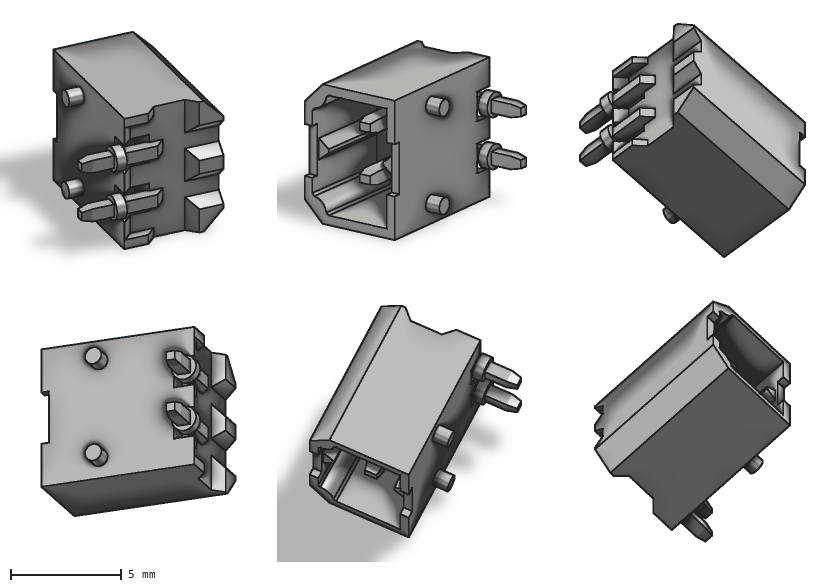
import cadquery as cq
import math


BODY_LENGTH = 7.5
BODY_HEIGHT = 5.0
BODY_WIDTH = 6.7
TOP_CHAMFER = 1.0
PIN_PITCH = 2.495
PIN_HEIGHT = BODY_HEIGHT / 2
PIN_CENTRES = (-PIN_PITCH / 2, PIN_PITCH / 2)

CAVITY_DEPTH = 5.0
SIDE_WALL = 0.47
MOUTH_WALL = 0.43
DRAFT = 0.07
CAVITY_HALF_WIDTH = BODY_WIDTH / 2 - SIDE_WALL
CORNER_REACH = 0.905
CORNER_SHOULDER = 0.77
CORNER_STEP = 0.11
CORNER_RADIUS = math.hypot(CORNER_SHOULDER, CORNER_STEP)
MOUTH_SLOT_DEPTH = 0.37

RIB_START = 0.5
RIB_REACH = 0.98
RIB_BASE_HALF_WIDTH = 0.47
RIB_TIP_HALF_WIDTH = 0.09

PAD_HEIGHT = 1.53
PAD_WIDTH = 1.31
PAD_CORNER = 0.305
PAD_RISE = 0.5
PAD_INSET = 0.1

BLADE_TIP_X = 1.2
BLADE_HEIGHT = 0.795
BLADE_TIP_HEIGHT = 0.585
PIN_WIDTH = 0.64
PIN_TIP_WIDTH = 0.41
PIN_TAPER = 0.5
TAIL_LENGTH = 2.1
TAIL_THICKNESS = 0.6
TAIL_TIP_THICKNESS = 0.42
COLLAR_DIAMETER = 1.19
COLLAR_THICKNESS = 0.5
TAIL_X = BODY_LENGTH - TAIL_THICKNESS / 2
TAIL_TOP = 2.18

RECESS_DEPTH = 0.5
RECESS_TOP = 3.78
RECESS_BOTTOM = 1.22
INNER_RECESS_BOTTOM = 0.03
NOTCH_DEPTH = 1.0
NOTCH_WIDTH = 1.42
NOTCH_HEIGHT = 1.0
GUIDE_HALF_WIDTH = 0.905

PEG_X = 2.855
PEG_OFFSET = 2.355
PEG_DIAMETER = 0.8
PEG_LENGTH = 0.76

RECESS_X = BODY_LENGTH - RECESS_DEPTH
NOTCH_X = BODY_LENGTH - NOTCH_DEPTH


def section_at(x):
    """Sketch plane across the part: local x is Y, local y is Z."""
    return cq.Workplane("YZ", origin=(x, 0, 0))


def side_prism(points, half_width, z_centre=0):
    """Extrude an XY outline symmetrically about z_centre."""
    return (
        cq.Workplane("XY", origin=(0, 0, z_centre - half_width))
        .polyline(points)
        .close()
        .extrude(2 * half_width)
    )


def housing_block():
    half = BODY_WIDTH / 2
    shoulder = BODY_HEIGHT - TOP_CHAMFER
    outline = [
        (0, -half),
        (shoulder, -half),
        (BODY_HEIGHT, TOP_CHAMFER - half),
        (BODY_HEIGHT, half - TOP_CHAMFER),
        (shoulder, half),
        (0, half),
    ]
    return section_at(0).polyline(outline).close().extrude(BODY_LENGTH)


def cavity_outline(plane, wall):
    """Rectangle whose two upper corners are filled by rounded, shouldered posts."""
    bottom = wall
    top = BODY_HEIGHT - wall
    half = CAVITY_HALF_WIDTH
    mid = CORNER_RADIUS * math.sqrt(0.5)
    return (
        plane.moveTo(bottom, -half)
        .lineTo(top - CORNER_REACH, -half)
        .lineTo(top - CORNER_SHOULDER, CORNER_STEP - half)
        .threePointArc((top - mid, mid - half), (top - CORNER_STEP, CORNER_SHOULDER - half))
        .lineTo(top, CORNER_REACH - half)
        .lineTo(top, half - CORNER_REACH)
        .lineTo(top - CORNER_STEP, half - CORNER_SHOULDER)
        .threePointArc((top - mid, half - mid), (top - CORNER_SHOULDER, half - CORNER_STEP))
        .lineTo(top - CORNER_REACH, half)
        .lineTo(bottom, half)
        .close()
    )


def mating_cavity():
    mouth = cavity_outline(section_at(0), MOUTH_WALL)
    floor = cavity_outline(mouth.workplane(offset=CAVITY_DEPTH), MOUTH_WALL + DRAFT)
    return floor.loft(ruled=True, combine=True)


def mouth_slot():
    """Shallow gap in the mouth rim, as wide as the pin pitch, through both walls."""
    outline = [
        (0, 0),
        (MOUTH_SLOT_DEPTH, 0),
        (MOUTH_SLOT_DEPTH, BODY_HEIGHT),
        (0, BODY_HEIGHT),
    ]
    return side_prism(outline, PIN_PITCH / 2)


def lower_rib():
    """Keying rib on the lower wall, rooted inside the wall and the cavity floor."""

    def outline(plane, tip):
        slope = (RIB_BASE_HALF_WIDTH - RIB_TIP_HALF_WIDTH) / (RIB_REACH - MOUTH_WALL - DRAFT)
        root = MOUTH_WALL / 2
        root_half = RIB_TIP_HALF_WIDTH + slope * (tip - root)
        return plane.polyline(
            [
                (root, -root_half),
                (tip, -RIB_TIP_HALF_WIDTH),
                (tip, RIB_TIP_HALF_WIDTH),
                (root, root_half),
            ]
        ).close()

    front = outline(section_at(RIB_START), RIB_REACH)
    rear = outline(front.workplane(offset=CAVITY_DEPTH - RIB_START), RIB_REACH + DRAFT)
    return rear.loft(ruled=True, combine=True)


def pin_pad(z):
    """Tapered pad rising from the cavity floor, with rounded corners."""
    taper_angle = math.degrees(math.atan(PAD_INSET / PAD_RISE))
    return (
        cq.Workplane("YZ", origin=(CAVITY_DEPTH, PIN_HEIGHT, z))
        .sketch()
        .rect(PAD_HEIGHT, PAD_WIDTH)
        .vertices()
        .fillet(PAD_CORNER)
        .finalize()
        .extrude(-PAD_RISE, taper=taper_angle)
    )


def rear_recess(bottom, half_width):
    """Trapezoidal channel across the rear face with 45 degree flanks."""
    outline = [
        (BODY_LENGTH, bottom),
        (RECESS_X, bottom + RECESS_DEPTH),
        (RECESS_X, RECESS_TOP - RECESS_DEPTH),
        (BODY_LENGTH, RECESS_TOP),
    ]
    return side_prism(outline, half_width)


def tail_notch(z):
    """Clearance around a tail, with a ceiling rising at 45 degrees to the rear."""
    outline = [
        (NOTCH_X, 0),
        (BODY_LENGTH, 0),
        (BODY_LENGTH, INNER_RECESS_BOTTOM + RECESS_DEPTH),
        (RECESS_X, NOTCH_HEIGHT + RECESS_X - NOTCH_X),
        (NOTCH_X, NOTCH_HEIGHT),
    ]
    return side_prism(outline, NOTCH_WIDTH / 2, z)


def pin_guide(z):
    """Flared channel in the rear face above the recess, in line with a pin."""
    floor_half = GUIDE_HALF_WIDTH - RECESS_DEPTH
    start = RECESS_TOP - RECESS_DEPTH
    return (
        cq.Workplane("XZ", origin=(0, BODY_HEIGHT, 0))
        .polyline(
            [
                (RECESS_X, z - floor_half),
                (BODY_LENGTH, z - GUIDE_HALF_WIDTH),
                (BODY_LENGTH, z + GUIDE_HALF_WIDTH),
                (RECESS_X, z + floor_half),
            ]
        )
        .close()
        .extrude(BODY_HEIGHT - start)
    )


def blade(z):
    """Mating end of a pin: a tapered tip and a straight blade rooted in the floor."""
    taper_end = BLADE_TIP_X + PIN_TAPER
    tip = (
        section_at(BLADE_TIP_X)
        .center(PIN_HEIGHT, z)
        .rect(BLADE_TIP_HEIGHT, PIN_TIP_WIDTH)
        .workplane(offset=PIN_TAPER)
        .rect(BLADE_HEIGHT, PIN_WIDTH)
        .loft(combine=True)
    )
    shank = (
        section_at(taper_end)
        .center(PIN_HEIGHT, z)
        .rect(BLADE_HEIGHT, PIN_WIDTH)
        .extrude(CAVITY_DEPTH - taper_end)
    )
    return tip.union(shank)


def tail(z):
    """Board end of a pin: mitred bend, straight leg, round collar and tapered tip."""
    left = TAIL_X - TAIL_THICKNESS / 2
    right = TAIL_X + TAIL_THICKNESS / 2
    taper_start = PIN_TAPER - TAIL_LENGTH
    leg_outline = [
        (left, taper_start),
        (right, taper_start),
        (right, TAIL_TOP - (right - RECESS_X)),
        (RECESS_X, TAIL_TOP),
        (left, TAIL_TOP),
    ]
    leg = side_prism(leg_outline, PIN_WIDTH / 2, z)
    collar = (
        cq.Workplane("XZ")
        .center(TAIL_X, z)
        .circle(COLLAR_DIAMETER / 2)
        .extrude(COLLAR_THICKNESS)
    )
    tip = (
        cq.Workplane("XZ", origin=(0, taper_start, 0))
        .center(TAIL_X, z)
        .rect(TAIL_THICKNESS, PIN_WIDTH)
        .workplane(offset=PIN_TAPER)
        .rect(TAIL_TIP_THICKNESS, PIN_TIP_WIDTH)
        .loft(combine=True)
    )
    return leg.union(collar).union(tip)


def pegs():
    return (
        cq.Workplane("XZ")
        .pushPoints([(PEG_X, -PEG_OFFSET), (PEG_X, PEG_OFFSET)])
        .circle(PEG_DIAMETER / 2)
        .extrude(PEG_LENGTH)
    )


part = housing_block().cut(mating_cavity()).cut(mouth_slot())
part = part.cut(rear_recess(RECESS_BOTTOM, BODY_WIDTH / 2))
part = part.cut(rear_recess(INNER_RECESS_BOTTOM, CAVITY_HALF_WIDTH))
for pin_z in PIN_CENTRES:
    part = part.cut(tail_notch(pin_z)).cut(pin_guide(pin_z))

rib = lower_rib()
upper_rib = rib.mirror("XZ", (0, BODY_HEIGHT / 2, 0))
part = part.union(rib).union(upper_rib)

for pin_z in PIN_CENTRES:
    part = part.union(pin_pad(pin_z)).union(blade(pin_z)).union(tail(pin_z))
result = part.union(pegs())